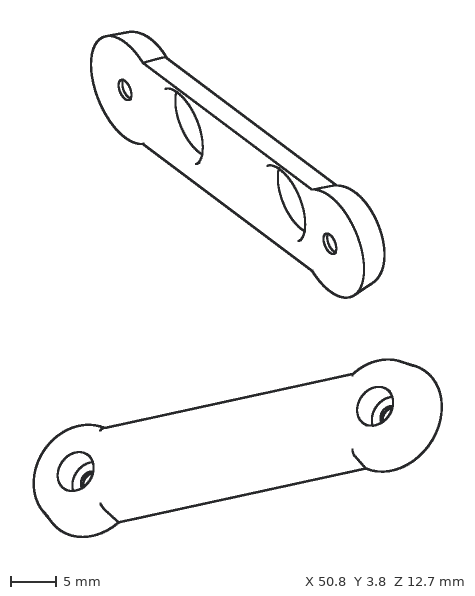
import cadquery as cq
import math

length = 50.8
thickness = 3.8
end_radius = 6.35
bar_height = 10.8
draft_angle = 10.0
back_edge_radius = 1.25

hole_spacing = length - 2 * end_radius
hole_diameter = 2.4
head_bore_diameter = 4.55
head_seat_thickness = 0.5

pocket_spacing = hole_spacing / 2
pocket_diameter = 9.0
pocket_depth = 3.2
pocket_lip_radius = 0.65

front_y = -thickness / 2
front_plane = cq.Workplane("XZ", origin=(0, front_y, 0))


def centers(spacing):
    """Mirrored pair of positions along X."""
    return [(-spacing / 2, 0), (spacing / 2, 0)]


def make_body():
    """Bar with two round ends, drafted inward toward the back."""
    bar = front_plane.rect(hole_spacing, bar_height).extrude(-thickness, taper=draft_angle)
    ends = front_plane.pushPoints(centers(hole_spacing)).circle(end_radius)
    body = bar.union(ends.extrude(-thickness, taper=draft_angle))
    return body.faces(">Y").edges().fillet(back_edge_radius)


def cut_screw_holes(body):
    """Through holes, widened behind a thin front web to take the screw heads."""
    back_plane = front_plane.workplane(offset=-thickness)
    head_bore_depth = thickness - head_seat_thickness
    positions = centers(hole_spacing)
    holes = front_plane.pushPoints(positions).circle(hole_diameter / 2).extrude(-thickness)
    head_bores = back_plane.pushPoints(positions).circle(head_bore_diameter / 2).extrude(head_bore_depth)
    return body.cut(holes).cut(head_bores)


def cut_pockets(body):
    """Blind pockets in the front face with rounded mouths."""
    positions = centers(pocket_spacing)
    pockets = front_plane.pushPoints(positions).circle(pocket_diameter / 2).extrude(-pocket_depth)
    body = body.cut(pockets)
    mouths = body.faces("<Y").edges("%CIRCLE").filter(
        lambda edge: math.isclose(edge.radius(), pocket_diameter / 2)
    )
    return mouths.fillet(pocket_lip_radius)


result = cut_screw_holes(cut_pockets(make_body()))